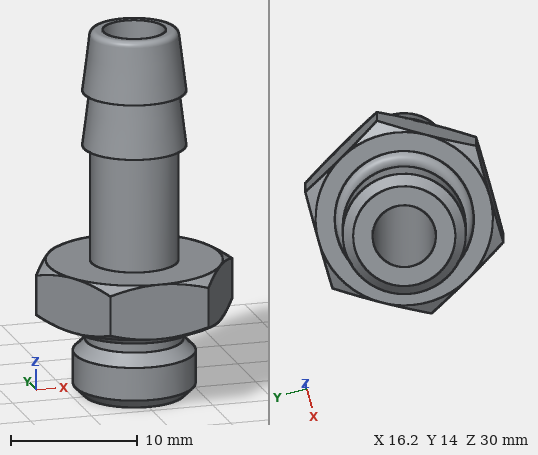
import cadquery as cq
import math

total_length = 30.0
thread_chamfer = 0.83
neck_bottom = 4.5
hex_bottom = 6.5
hex_height = 4.5
hex_top = hex_bottom + hex_height
lower_barb_bottom = 20.5
upper_barb_bottom = 25.0

bore_radius = 5.0 / 2
thread_radius = 9.73 / 2
neck_radius = 7.8 / 2
stem_radius = 7.0 / 2
barb_radius = 8.24 / 2
tip_radius = 7.0 / 2
tip_fillet = 0.5

barb_taper = (barb_radius - tip_radius) / (total_length - upper_barb_bottom)
lower_barb_top_radius = barb_radius - barb_taper * (upper_barb_bottom - lower_barb_bottom)

undercut_bottom = neck_bottom - (thread_radius - neck_radius)

across_flats = 14.0
flat_radius = across_flats / 2
corner_radius = flat_radius / math.cos(math.pi / 6)
corner_chamfer_height = (corner_radius - flat_radius) * math.tan(math.pi / 6)

ring_section_radius = 1.5 / 2
ring_protrusion = 0.95
ring_inner_radius = 8.0 / 2
ring_centre_radius = ring_inner_radius + ring_section_radius
ring_centre_height = hex_bottom - ring_protrusion + ring_section_radius

seat_half_width = math.sqrt(ring_section_radius**2 - (hex_bottom - ring_centre_height) ** 2)
seat_inner_radius = ring_centre_radius - seat_half_width
seat_outer_radius = ring_centre_radius + seat_half_width


def make_turned_base():
    """Thread, neck, ring seat and a chamfered disc that circumscribes the hexagon."""
    return (
        cq.Workplane("XZ")
        .moveTo(0, 0)
        .lineTo(thread_radius - thread_chamfer, 0)
        .lineTo(thread_radius, thread_chamfer)
        .lineTo(thread_radius, undercut_bottom)
        .lineTo(neck_radius, neck_bottom)
        .lineTo(neck_radius, hex_bottom)
        .lineTo(seat_inner_radius, hex_bottom)
        .threePointArc(
            (ring_centre_radius, ring_centre_height + ring_section_radius),
            (seat_outer_radius, hex_bottom),
        )
        .lineTo(flat_radius, hex_bottom)
        .lineTo(corner_radius, hex_bottom + corner_chamfer_height)
        .lineTo(corner_radius, hex_top - corner_chamfer_height)
        .lineTo(flat_radius, hex_top)
        .lineTo(0, hex_top)
        .close()
        .revolve(360, (0, 0, 0), (0, 1, 0))
    )


def make_hose_stem():
    """Plain stem with two tapered barbs and a rounded tip."""
    stem = (
        cq.Workplane("XZ")
        .moveTo(0, hex_top)
        .lineTo(stem_radius, hex_top)
        .lineTo(stem_radius, lower_barb_bottom)
        .lineTo(barb_radius, lower_barb_bottom)
        .lineTo(lower_barb_top_radius, upper_barb_bottom)
        .lineTo(barb_radius, upper_barb_bottom)
        .lineTo(tip_radius, total_length)
        .lineTo(0, total_length)
        .close()
        .revolve(360, (0, 0, 0), (0, 1, 0))
    )
    return stem.faces(">Z").edges().fillet(tip_fillet)


def make_fitting():
    """Hose fitting in one piece: hexagon corners on X, bored right through."""
    hex_prism = cq.Workplane("XY").polygon(6, 2 * corner_radius).extrude(total_length)
    bore = cq.Workplane("XY").circle(bore_radius).extrude(total_length)
    return make_turned_base().intersect(hex_prism).union(make_hose_stem()).cut(bore)


def make_o_ring():
    """Round-section sealing ring set into the underside of the hexagon."""
    return (
        cq.Workplane("XZ")
        .center(ring_centre_radius, ring_centre_height)
        .circle(ring_section_radius)
        .revolve(360, (-ring_centre_radius, 0, 0), (-ring_centre_radius, 1, 0))
    )


fitting = make_fitting()
o_ring = make_o_ring()

result = cq.Compound.makeCompound([fitting.solids().val(), o_ring.val()])